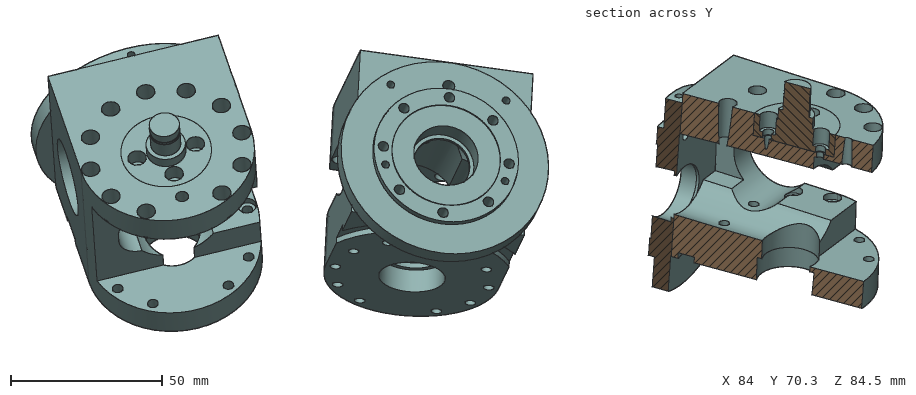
import cadquery as cq
import math


TILT_ANGLE = 7.15
TILT_AXIS = (0.89, 0.92, -1.0)

HOUSING_WIDTH = 58.4
HOUSING_HEIGHT = 59.6
FORK_AXIS_X = 41.7
FORK_RADIUS = HOUSING_WIDTH / 2
FORK_WALL_X = 49.6
PRONG_THICKNESS = 10.0
TOP_Z = HOUSING_HEIGHT / 2
BOTTOM_Z = -TOP_Z
GAP_HEIGHT = HOUSING_HEIGHT - 2 * PRONG_THICKNESS

CROSS_BORE_X = 20.0
CROSS_BORE_RADIUS = 13.0
CENTRE_BORE_RADIUS = 15.5
SHAFT_HOLE_RADIUS = 9.5
BASE_RECESS_RADIUS = 11.0
BASE_RECESS_DEPTH = 8.0
CHAMBER_HEIGHT = 18.95
CHAMBER_WIDTH = 39.6
CHAMBER_ROUNDING = 7.95
SIDE_EXIT_START_X = 25.4
GROOVE_INNER_RADIUS = 33.85
GROOVE_OUTER_RADIUS = 39.7
GROOVE_DEPTH = 2.0

MOUNT_CIRCLE_RADIUS = 25.9
MOUNT_ACCESS_DIAMETER = 6.0
MOUNT_SEAT_Z = -11.8
MOUNT_HOLE_DIAMETER = 3.5
MOUNT_POSITIONS = 12
DOWEL_OFFSET = 20.0
DOWEL_DIAMETER = 4.2

CAP_RADIUS = 15.0
CAP_THICKNESS = 8.0
COLLAR_RADIUS = 6.5
COLLAR_HEIGHT = 3.8
PIN_RADIUS = 5.0
PIN_HEIGHT = 10.3
PIN_GROOVE_DEPTH = 0.2
PIN_GROOVE_WIDTH = 1.0
PIN_HEAD_HEIGHT = 3.4
SCREW_COUNT = 4
SCREW_CIRCLE_RADIUS = 10.0
SCREW_HEAD_DIAMETER = 6.0
SCREW_HEAD_DEPTH = 5.9
SCREW_HOLE_DIAMETER = 3.6
SCREW_TAP_DIAMETER = 2.6
SCREW_TAP_END_Z = 14.0

FLANGE_Z = -8.5
FLANGE_RADIUS = 35.0
FLANGE_THICKNESS = 6.1
RING_RADIUS = 24.4
RING_HEIGHT = 2.2
RECESS_RADIUS = 18.3
RECESS_DEPTH = 0.4
FLANGE_BORE_RADIUS = 10.8
LIP_RADIUS = 9.5
LIP_THICKNESS = 1.0
BOLT_COUNT = 8
BOLT_CIRCLE_RADIUS = 21.2
BOLT_HOLE_DIAMETER = 3.5
PORT_OFFSET = 26.5
PORT_DIAMETER = 4.0
TAP_DIAMETER = 2.5
OUTER_TAP_RADIUS = 31.0
OUTER_TAP_ANGLES = (51, 129)
INNER_TAP_RADIUS = 21.2
INNER_TAP_ANGLES = (-18, -162)
RIM_HOLE_DIAMETER = 2.5
RIM_HOLE_DEPTH = 5.1


def rod_x(radius, x_start, x_end, y=0, z=0):
    """Cylinder along X between two X positions."""
    return cq.Workplane("YZ", origin=(x_start, y, z)).circle(radius).extrude(x_end - x_start)


def rod_z(radius, z_start, z_end, x=FORK_AXIS_X, y=0):
    """Cylinder along Z between two heights."""
    return cq.Workplane("XY", origin=(x, y, z_start)).circle(radius).extrude(z_end - z_start)


def around_fork_axis(radius, angle):
    """X and Y of a point at an angle in degrees on a circle around the fork axis."""
    turn = math.radians(angle)
    return FORK_AXIS_X + radius * math.cos(turn), radius * math.sin(turn)


def around_flange(radius, angle):
    """Y and Z of a point at an angle in degrees around the flange axis, from +Y towards +Z."""
    turn = math.radians(angle)
    return radius * math.cos(turn), radius * math.sin(turn)


SCREW_POINTS = [around_fork_axis(SCREW_CIRCLE_RADIUS, 360 / SCREW_COUNT * i) for i in range(SCREW_COUNT)]


def make_fork():
    """Round-ended block with the gap between its two prongs."""
    block = (
        cq.Workplane("XY", origin=(0, 0, BOTTOM_Z))
        .moveTo(0, -FORK_RADIUS)
        .lineTo(FORK_AXIS_X, -FORK_RADIUS)
        .threePointArc((FORK_AXIS_X + FORK_RADIUS, 0), (FORK_AXIS_X, FORK_RADIUS))
        .lineTo(0, FORK_RADIUS)
        .close()
        .extrude(HOUSING_HEIGHT)
    )
    gap = (
        cq.Workplane("XY")
        .box(FORK_RADIUS, HOUSING_WIDTH, GAP_HEIGHT, centered=(False, True, True))
        .translate((FORK_WALL_X, 0, 0))
    )
    return block.cut(gap)


def cut_cavities(housing):
    """Cross bore, centre bore, inner chamber with its side exit, and the shaft hole in the base."""
    cross_bore = (
        cq.Workplane("XZ", origin=(CROSS_BORE_X, FORK_RADIUS, 0))
        .circle(CROSS_BORE_RADIUS)
        .extrude(HOUSING_WIDTH)
    )
    centre_bore = rod_x(CENTRE_BORE_RADIUS, 0, FORK_WALL_X)
    chamber = (
        cq.Workplane("XY")
        .box(FORK_WALL_X, CHAMBER_WIDTH, CHAMBER_HEIGHT, centered=(False, True, True))
        .edges("|X and <Y")
        .fillet(CHAMBER_ROUNDING)
    )
    side_exit_length = FORK_AXIS_X + FORK_RADIUS - SIDE_EXIT_START_X
    side_exit = (
        cq.Workplane("XY")
        .box(side_exit_length, FORK_RADIUS, CHAMBER_HEIGHT, centered=(False, False, True))
        .translate((SIDE_EXIT_START_X, 0, 0))
    )
    shaft_hole = rod_z(SHAFT_HOLE_RADIUS, BOTTOM_Z, 0)
    base_recess = rod_z(BASE_RECESS_RADIUS, BOTTOM_Z, BOTTOM_Z + BASE_RECESS_DEPTH)
    for cavity in (cross_bore, centre_bore, chamber, side_exit, shaft_hole, base_recess):
        housing = housing.cut(cavity)
    return housing


def cut_base_groove(housing):
    """Ring groove around the fork axis in the underside."""
    groove_top = BOTTOM_Z + GROOVE_DEPTH
    core = rod_z(GROOVE_INNER_RADIUS, BOTTOM_Z, groove_top)
    return housing.cut(rod_z(GROOVE_OUTER_RADIUS, BOTTOM_Z, groove_top).cut(core))


def cut_mounting_holes(housing):
    """Stepped holes around the fork axis; a dowel hole takes the place of the one at the fork tip."""
    for i in range(1, MOUNT_POSITIONS):
        x, y = around_fork_axis(MOUNT_CIRCLE_RADIUS, 360 / MOUNT_POSITIONS * i)
        housing = housing.cut(rod_z(MOUNT_ACCESS_DIAMETER / 2, MOUNT_SEAT_Z, TOP_Z, x, y))
        housing = housing.cut(rod_z(MOUNT_HOLE_DIAMETER / 2, BOTTOM_Z, MOUNT_SEAT_Z, x, y))
    return housing.cut(rod_z(DOWEL_DIAMETER / 2, 0, TOP_Z, FORK_AXIS_X + DOWEL_OFFSET))


def cut_cap_seat(housing):
    """Recess for the cap and the tapped holes below it."""
    housing = housing.cut(rod_z(CAP_RADIUS, TOP_Z - CAP_THICKNESS, TOP_Z))
    for x, y in SCREW_POINTS:
        housing = housing.cut(rod_z(SCREW_TAP_DIAMETER / 2, SCREW_TAP_END_Z, TOP_Z, x, y))
    return housing


def make_housing():
    housing = make_fork()
    housing = cut_cavities(housing)
    housing = cut_base_groove(housing)
    housing = cut_mounting_holes(housing)
    return cut_cap_seat(housing)


def make_cap():
    """Cap plate with screw holes, carrying the collar and the grooved connector pin."""
    plate_bottom = TOP_Z - CAP_THICKNESS
    collar_top = TOP_Z + COLLAR_HEIGHT
    pin_top = collar_top + PIN_HEIGHT
    groove_top = pin_top - PIN_HEAD_HEIGHT
    groove_floor = groove_top - PIN_GROOVE_WIDTH
    cap = rod_z(CAP_RADIUS, plate_bottom, TOP_Z)
    for x, y in SCREW_POINTS:
        cap = cap.cut(rod_z(SCREW_HOLE_DIAMETER / 2, plate_bottom, TOP_Z, x, y))
        cap = cap.cut(rod_z(SCREW_HEAD_DIAMETER / 2, TOP_Z - SCREW_HEAD_DEPTH, TOP_Z, x, y))
    cap = cap.union(rod_z(COLLAR_RADIUS, TOP_Z, collar_top))
    cap = cap.union(rod_z(PIN_RADIUS, collar_top, groove_floor))
    cap = cap.union(rod_z(PIN_RADIUS - PIN_GROOVE_DEPTH, groove_floor, groove_top))
    return cap.union(rod_z(PIN_RADIUS, groove_top, pin_top))


def make_flange():
    """Round flange with a raised ring, a lipped bore and its holes."""
    face_x = -FLANGE_THICKNESS
    ring_x = face_x - RING_HEIGHT
    flange = rod_x(FLANGE_RADIUS, face_x, 0).union(rod_x(RING_RADIUS, ring_x, face_x))
    flange = flange.cut(rod_x(RECESS_RADIUS, ring_x, ring_x + RECESS_DEPTH))
    flange = flange.cut(rod_x(FLANGE_BORE_RADIUS, ring_x, -LIP_THICKNESS))
    flange = flange.cut(rod_x(LIP_RADIUS, -LIP_THICKNESS, 0))
    for i in range(BOLT_COUNT):
        y, z = around_flange(BOLT_CIRCLE_RADIUS, 360 / BOLT_COUNT * i)
        flange = flange.cut(rod_x(BOLT_HOLE_DIAMETER / 2, ring_x, 0, y, z))
    flange = flange.cut(rod_x(PORT_DIAMETER / 2, face_x, 0, 0, PORT_OFFSET))
    for angle in OUTER_TAP_ANGLES:
        y, z = around_flange(OUTER_TAP_RADIUS, angle)
        flange = flange.cut(rod_x(TAP_DIAMETER / 2, face_x, 0, y, z))
    for angle in INNER_TAP_ANGLES:
        y, z = around_flange(INNER_TAP_RADIUS, angle)
        flange = flange.cut(rod_x(TAP_DIAMETER / 2, ring_x, 0, y, z))
    rim_hole = rod_z(RIM_HOLE_DIAMETER / 2, FLANGE_RADIUS - RIM_HOLE_DEPTH, FLANGE_RADIUS, face_x / 2)
    return flange.cut(rim_hole).translate((0, 0, FLANGE_Z))


def tilted(body):
    """Solid of a body, turned about the origin into its final position."""
    return body.val().rotate(cq.Vector(0, 0, 0), cq.Vector(*TILT_AXIS), TILT_ANGLE)


housing = make_housing()
cap = make_cap()
flange = make_flange()

result = cq.Compound.makeCompound([tilted(housing), tilted(cap), tilted(flange)])